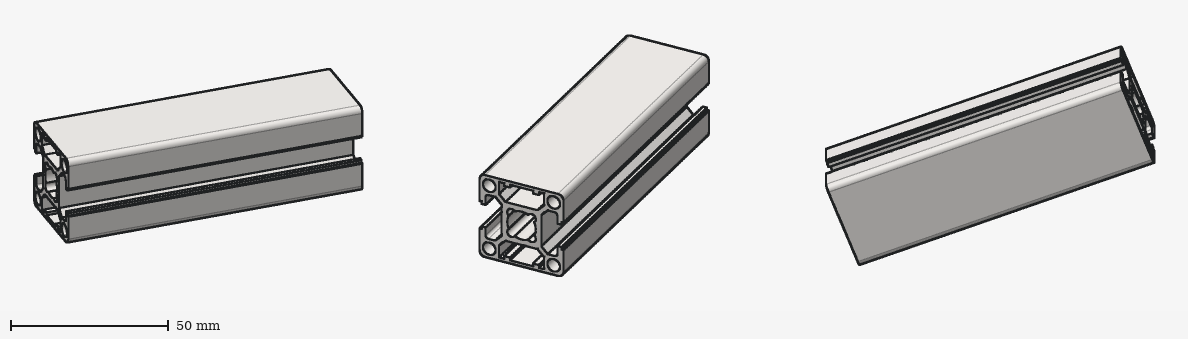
import cadquery as cq

length = 100.0
side = 30.0
corner_radius = 2.0

corner_hole_diameter = 4.5
corner_hole_offset = 11.5

core_half = 7.1
slot_half_width = 8.0
flank_depth = 9.4
lip_inner = 12.8
opening_half = 4.1
floor_half_width = slot_half_width - (flank_depth - core_half)

slot_fillet = 1.0
lip_step_half_width = 5.0
lip_step_depth = 0.7

cover_thickness = 1.2
rib_outer = 6.2

bore_diameter = 10.2
lobe_diameter = 3.0
lobe_offset = 3.6

half_side = side / 2
quarter_turns = (0, 90, 180, 270)


def section_plane():
    return cq.Workplane("XZ", origin=(0, length / 2, 0))


def prism(sketch):
    return sketch.extrude(length)


def turned(body, angle):
    return body.rotate((0, 0, 0), (0, 1, 0), angle)


def upright_box(half_width, bottom, top):
    """Full-length box centred on X, between two heights."""
    return prism(section_plane().center(0, (bottom + top) / 2).rect(2 * half_width, top - bottom))


def slot_cavity(top):
    """Cavity above the core with 45 degree flanks, reaching up to the given height."""
    right_side = [
        (floor_half_width, core_half),
        (slot_half_width, flank_depth),
        (slot_half_width, top),
    ]
    left_side = [(-x, z) for x, z in reversed(right_side)]
    return prism(section_plane().polyline(right_side + left_side).close())


def open_slot():
    cavity = slot_cavity(lip_inner).edges("|Y and >Z").fillet(slot_fillet)
    opening = upright_box(opening_half, core_half, half_side)
    step = upright_box(lip_step_half_width, half_side - lip_step_depth, half_side)
    return cavity.union(opening).union(step)


def closed_slot():
    cover_inner = half_side - cover_thickness
    cavity = slot_cavity(cover_inner)
    ribs = upright_box(rib_outer, lip_inner, cover_inner).cut(
        upright_box(opening_half, lip_inner, cover_inner)
    )
    return cavity.cut(ribs)


def core_bore():
    """Round centre bore with a round lobe towards each corner."""
    bore = prism(section_plane().circle(bore_diameter / 2))
    lobe = prism(section_plane().center(lobe_offset, lobe_offset).circle(lobe_diameter / 2))
    for angle in quarter_turns:
        bore = bore.union(turned(lobe, angle))
    return bore


result = prism(section_plane().rect(side, side)).edges("|Y").fillet(corner_radius)

for angle in (90, 270):
    result = result.cut(turned(open_slot(), angle))
for angle in (0, 180):
    result = result.cut(turned(closed_slot(), angle))

corner_hole = prism(
    section_plane().center(corner_hole_offset, corner_hole_offset).circle(corner_hole_diameter / 2)
)
for angle in quarter_turns:
    result = result.cut(turned(corner_hole, angle))

result = result.cut(core_bore())